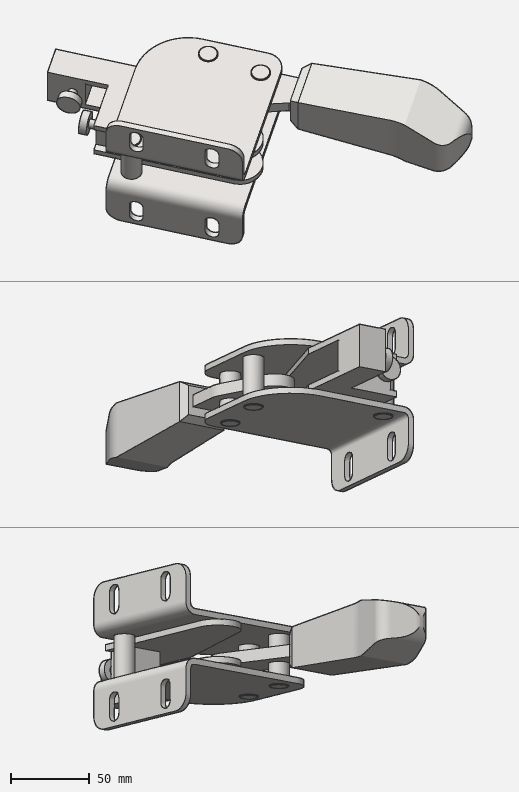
import cadquery as cq
import math


frame_length = 90.0
frame_height = 105.5
plate_thickness = 4.0
inner_half_gap = 14.25
outer_half_gap = inner_half_gap + plate_thickness
flange_half_span = 48.0
bend_outer_radius = 7.5
bend_inner_radius = bend_outer_radius - plate_thickness
left_corner_radius = 35.0
right_corner_radius = 12.0
flange_corner_radius = 10.0
slot_length = 19.0
slot_width = 9.0
slot_inset = 20.0
slot_half_pitch = 35.0
spacer_diameter = 13.5
rivet_diameter = 12.5
rivet_height = 0.75
rivet_chamfer = 0.5
base_pin = (12.9, 14.7)
stop_pin = (41.6, 94.5)
pivot_pin = (77.8, 88.6)

nose_left = -54.0
nose_right = -29.0
arm_top = 76.0
nose_bottom = 56.3
leg_left = -14.0
arm_bottom = 22.0
arm_wall = 4.0
tail_radius = 14.8
tail_right = 93.2
cross_block_right = 6.0
cross_block_bottom = 26.8
cross_block_top = 50.7

bolt_head_diameter = 15.5
bolt_head_height = 5.2
bolt_shank_diameter = 6.0
bolt_shank_length = 6.2
nose_bolt_x = -37.1
leg_bolt_y = 34.1

lever_thickness = 8.0
eye_radius = 12.5
eye_center = (45.8, 75.6)
lever_top = 102.3
boss_radius = lever_top - pivot_pin[1]
shank_bottom_start = (98.8, 80.8)

grip_left = 100.3
tip_x = 217.0
collar_x = 106.1
grip_collar_top = 108.6
grip_collar_bottom = 75.2
collar_bevel = 2.9
grip_peak = (184.5, 110.3)
grip_nose = (219.95, 91.7)
grip_heel = (205.0, 63.8)
grip_waist = (171.0, 73.5)
peak_radius = 30.0
nose_radius = 8.0
heel_radius = 9.0
waist_radius = 28.0
face_half_width = 9.8
collar_half_width = 13.4
widest_x = 177.7
widest_half_width = 18.2
tip_half_width = 10.4
tip_radius = 9.6


def tangent_points(center_a, radius_a, center_b, radius_b, side):
    """Touch points of the outer tangent of two circles; side is +1 left or -1 right of a to b."""
    dx = center_b[0] - center_a[0]
    dy = center_b[1] - center_a[1]
    lean = math.acos((radius_a - radius_b) / math.hypot(dx, dy))
    angle = math.atan2(dy, dx) + side * lean
    return [
        (center[0] + radius * math.cos(angle), center[1] + radius * math.sin(angle))
        for center, radius in ((center_a, radius_a), (center_b, radius_b))
    ]


def centered_prism(outline, half_width):
    """Extrude an XY outline into one prism reaching half_width to both sides of Z = 0."""
    return outline.extrude(2 * half_width).translate((0, 0, -half_width))


def rectangle(lower_left, upper_right):
    """Closed XY rectangle between two opposite corners."""
    width = upper_right[0] - lower_left[0]
    height = upper_right[1] - lower_left[1]
    return cq.Workplane("XY").moveTo(*lower_left).rect(width, height, centered=False)


def make_side_plate():
    """Upper side plate with its outward flange, corner rounds and mounting slots."""
    bend_center = (bend_outer_radius, inner_half_gap + bend_outer_radius)
    plate = (
        cq.Workplane("YZ")
        .moveTo(frame_height, inner_half_gap)
        .lineTo(bend_center[0], inner_half_gap)
        .radiusArc((0, bend_center[1]), bend_outer_radius)
        .lineTo(0, flange_half_span)
        .lineTo(plate_thickness, flange_half_span)
        .lineTo(plate_thickness, bend_center[1])
        .radiusArc((bend_center[0], outer_half_gap), -bend_inner_radius)
        .lineTo(frame_height, outer_half_gap)
        .close()
        .extrude(frame_length)
    )
    plate = plate.edges("|Z and >Y and <X").fillet(left_corner_radius)
    plate = plate.edges("|Z and >X").edges(">Y").fillet(right_corner_radius)
    plate = plate.faces(">Z").edges("|Y").fillet(flange_corner_radius)
    slots = (
        cq.Workplane("XZ")
        .pushPoints([(slot_inset, slot_half_pitch), (frame_length - slot_inset, slot_half_pitch)])
        .slot2D(slot_length, slot_width, 90)
        .extrude(-plate_thickness)
    )
    return plate.cut(slots)


def make_frame():
    """Both side plates, the spacer pins between them and the rivet heads outside."""
    plate = make_side_plate()
    frame = plate.union(plate.mirror("XY"))
    for pin in (base_pin, stop_pin, pivot_pin):
        spacer = centered_prism(cq.Workplane("XY").center(*pin).circle(spacer_diameter / 2), inner_half_gap)
        rivet = centered_prism(
            cq.Workplane("XY").center(*pin).circle(rivet_diameter / 2), outer_half_gap + rivet_height
        )
        rivet = rivet.faces("|Z").edges().chamfer(rivet_chamfer)
        frame = frame.union(spacer).union(rivet)
    return frame


def make_arm():
    """L-shaped arm with a rounded tail, hollowed between its walls."""
    tail_center = (tail_right - tail_radius, arm_bottom + tail_radius)
    top_corner = (cross_block_right, arm_top)
    _, tail_top = tangent_points(top_corner, 0, tail_center, tail_radius, 1)
    outline = (
        cq.Workplane("XY")
        .moveTo(nose_left, arm_top)
        .lineTo(nose_left, nose_bottom)
        .lineTo(leg_left, nose_bottom)
        .lineTo(leg_left, arm_bottom)
        .lineTo(tail_center[0], arm_bottom)
        .threePointArc((tail_right, tail_center[1]), tail_top)
        .lineTo(*top_corner)
        .close()
    )
    arm = centered_prism(outline, inner_half_gap)
    hollow_half_width = inner_half_gap - arm_wall
    hollow = centered_prism(
        rectangle((nose_right, arm_bottom), (tail_right, arm_top)),
        hollow_half_width,
    )
    cross_block = centered_prism(
        rectangle((leg_left, cross_block_bottom), (cross_block_right, cross_block_top)),
        hollow_half_width,
    )
    return arm.cut(hollow).union(cross_block)


def make_bolt(seat, direction):
    """Bolt whose shank starts on the arm at seat and whose head points along direction."""
    plane = cq.Plane(origin=seat, xDir=(0, 0, 1), normal=direction)
    shank = cq.Workplane(plane).circle(bolt_shank_diameter / 2).extrude(bolt_shank_length)
    head = (
        cq.Workplane(plane)
        .workplane(offset=bolt_shank_length)
        .circle(bolt_head_diameter / 2)
        .extrude(bolt_head_height)
    )
    return shank.union(head)


def make_lever():
    """Flat lever with a rounded eye and a boss around the pivot pin."""
    eye_top, boss_top = tangent_points(eye_center, eye_radius, pivot_pin, boss_radius, 1)
    eye_bottom, _ = tangent_points(eye_center, eye_radius, shank_bottom_start, 0, -1)
    outline = (
        cq.Workplane("XY")
        .moveTo(*eye_top)
        .threePointArc((eye_center[0] - eye_radius, eye_center[1]), eye_bottom)
        .lineTo(*shank_bottom_start)
        .lineTo(grip_left, shank_bottom_start[1])
        .lineTo(grip_left, lever_top)
        .lineTo(pivot_pin[0], lever_top)
        .tangentArcPoint(boss_top, relative=False)
        .close()
    )
    lever = centered_prism(outline, lever_thickness / 2)
    pins = centered_prism(
        cq.Workplane("XY").pushPoints([pivot_pin, stop_pin]).circle(spacer_diameter / 2), lever_thickness
    )
    return lever.cut(pins)


def make_grip():
    """Grip shaped by its side outline and its width outline crossing at right angles."""
    side_outline = [
        (grip_left, grip_collar_top - collar_bevel),
        (collar_x, grip_collar_top),
        grip_peak,
        grip_nose,
        grip_heel,
        grip_waist,
        (collar_x, grip_collar_bottom),
        (grip_left, grip_collar_bottom + collar_bevel),
    ]
    side = centered_prism(cq.Workplane("XY").polyline(side_outline).close(), widest_half_width)
    for corner, radius in (
        (grip_peak, peak_radius),
        (grip_nose, nose_radius),
        (grip_heel, heel_radius),
        (grip_waist, waist_radius),
    ):
        side = side.edges(cq.selectors.NearestToPointSelector((*corner, 0))).fillet(radius)
    half_outline = [
        (grip_left, face_half_width),
        (collar_x, collar_half_width),
        (widest_x, widest_half_width),
        (tip_x, tip_half_width),
    ]
    other_half = [(x, -z) for x, z in reversed(half_outline)]
    width = cq.Workplane("XZ").polyline(half_outline + other_half).close().extrude(-grip_peak[1])
    width = width.edges("|Y and >X").fillet(tip_radius)
    return side.intersect(width)


frame = make_frame()
arm = make_arm()
nose_bolt = make_bolt((nose_bolt_x, nose_bottom, 0), (0, -1, 0))
leg_bolt = make_bolt((leg_left, leg_bolt_y, 0), (-1, 0, 0))
lever = make_lever()
grip = make_grip()

result = cq.Compound.makeCompound(
    [frame.val(), arm.val(), nose_bolt.val(), leg_bolt.val(), lever.val(), grip.val()]
)